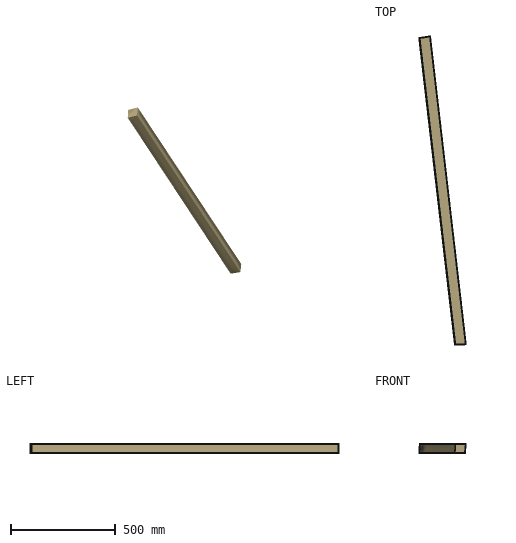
import cadquery as cq

overall_x = 224.0
length = 1474.0
height = 44.0

top_width = 50.0
left_lean = 3.0
right_lean = 5.0
far_end_drop = 7.0
near_end_drop = 1.0

far_left = -overall_x / 2 + left_lean
far_right = far_left + top_width
near_right = overall_x / 2
near_left = near_right - top_width

far_y = length / 2
near_y = -length / 2


def outline(left_shift, right_shift):
    """Corners of a horizontal section, its long edges shifted towards -X."""
    return [
        (far_left - left_shift, far_y - far_end_drop),
        (near_left - left_shift, near_y),
        (near_right - right_shift, near_y + near_end_drop),
        (far_right - right_shift, far_y),
    ]


result = (
    cq.Workplane("XY")
    .workplane(offset=-height / 2)
    .polyline(outline(left_lean, right_lean))
    .close()
    .workplane(offset=height)
    .polyline(outline(0, 0))
    .close()
    .loft(ruled=True)
)